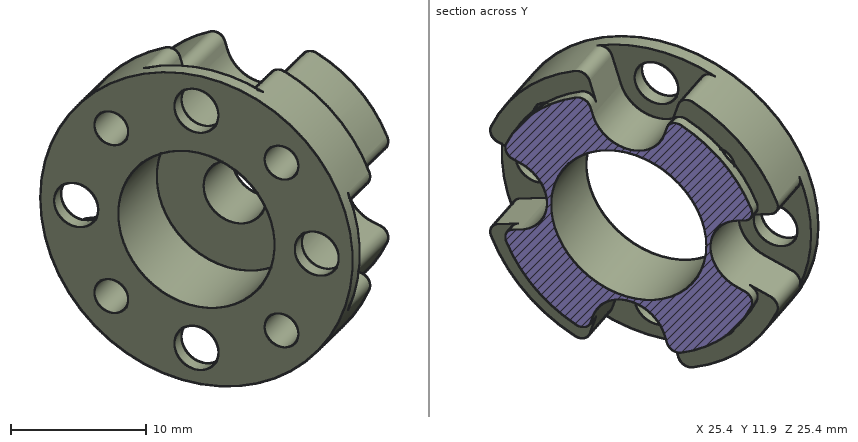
import cadquery as cq
import math

FLANGE_THICKNESS = 1.27
SHOULDER_END = 5.08
TOTAL_LENGTH = 11.938

FLANGE_DIAMETER = 25.4
HUB_DIAMETER = 21.94

BORE_DIAMETER = 12.7
BORE_DEPTH = 6.86
SHAFT_DIAMETER = 5.08

BOLT_CIRCLE_RADIUS = 9.779
CLEARANCE_DIAMETER = 3.57
BLIND_DIAMETER = 2.74
SHOULDER_BREAKTHROUGH = 0.06
BLIND_DEPTH = SHOULDER_END + SHOULDER_BREAKTHROUGH
DRILL_POINT_ANGLE = 118
FIRST_BLIND_ANGLE = 45
FLAT_BLIND_ANGLE = 315
QUARTER_TURN = 90
HOLE_ANGLES = range(0, 360, QUARTER_TURN)

GROOVE_RADIUS = 3.048
GROOVE_FLARE_ANGLE = 17.5
LOBE_CORNER_RADIUS = 0.889

RIM_TOLERANCE = 0.01


def front_plane(y):
    """Sketch plane at depth y whose normal points along +Y (local x = -X, local y = Z)."""
    return cq.Workplane(cq.Plane(origin=(0, y, 0), xDir=(-1, 0, 0), normal=(0, 1, 0)))


def disc(diameter, y_start, y_end):
    return front_plane(y_start).circle(diameter / 2).extrude(y_end - y_start)


def around_axis(shape, angle):
    """Turn a shape from the +X side to the given angle, counted from +X toward +Z."""
    return shape.rotate((0, 0, 0), (0, 1, 0), -angle)


def groove(y_start, y_end):
    """Groove on the +X side: a round bottom with straight walls flaring outward."""
    flare = math.radians(GROOVE_FLARE_ANGLE)
    tangent_x = BOLT_CIRCLE_RADIUS - GROOVE_RADIUS * math.sin(flare)
    tangent_z = GROOVE_RADIUS * math.cos(flare)
    mouth_x = FLANGE_DIAMETER / 2 + GROOVE_RADIUS
    mouth_z = tangent_z + (mouth_x - tangent_x) * math.tan(flare)
    bottom_x = BOLT_CIRCLE_RADIUS - GROOVE_RADIUS
    return (
        front_plane(y_start)
        .moveTo(-mouth_x, mouth_z)
        .lineTo(-tangent_x, tangent_z)
        .threePointArc((-bottom_x, 0), (-tangent_x, -tangent_z))
        .lineTo(-mouth_x, -mouth_z)
        .close()
        .extrude(y_end - y_start)
    )


def grooved_section(diameter, y_start, y_end):
    """Round section with four grooves, leaving four lobes with rounded corners."""
    section = disc(diameter, y_start, y_end)
    for angle in HOLE_ANGLES:
        section = section.cut(around_axis(groove(y_start, y_end), angle))
    corner_edges = section.edges("|Y").filter(
        lambda edge: math.hypot(edge.Center().x, edge.Center().z) > diameter / 2 - RIM_TOLERANCE
    )
    return section.newObject(corner_edges.vals()).fillet(LOBE_CORNER_RADIUS)


def clearance_hole():
    hole = disc(CLEARANCE_DIAMETER, 0, FLANGE_THICKNESS)
    return hole.translate((BOLT_CIRCLE_RADIUS, 0, 0))


def blind_hole(pointed):
    """Hole from the front face that just passes the shoulder, with or without a drill point."""
    hole = disc(BLIND_DIAMETER, 0, BLIND_DEPTH)
    if pointed:
        radius = BLIND_DIAMETER / 2
        point_length = radius / math.tan(math.radians(DRILL_POINT_ANGLE / 2))
        point = cq.Solid.makeCone(
            radius, 0, point_length, pnt=cq.Vector(0, BLIND_DEPTH, 0), dir=cq.Vector(0, 1, 0)
        )
        hole = hole.union(cq.Workplane(point))
    return hole.translate((BOLT_CIRCLE_RADIUS, 0, 0))


def build_hub():
    shoulder = grooved_section(FLANGE_DIAMETER, FLANGE_THICKNESS, SHOULDER_END)
    groove_waste = disc(FLANGE_DIAMETER, FLANGE_THICKNESS, SHOULDER_END).cut(shoulder)
    hub = disc(FLANGE_DIAMETER, 0, SHOULDER_END).cut(groove_waste)
    hub = hub.union(grooved_section(HUB_DIAMETER, SHOULDER_END, TOTAL_LENGTH))
    hub = hub.cut(disc(BORE_DIAMETER, 0, BORE_DEPTH))
    hub = hub.cut(disc(SHAFT_DIAMETER, 0, TOTAL_LENGTH))
    for angle in HOLE_ANGLES:
        blind_angle = FIRST_BLIND_ANGLE + angle
        hub = hub.cut(around_axis(clearance_hole(), angle))
        hub = hub.cut(around_axis(blind_hole(blind_angle != FLAT_BLIND_ANGLE), blind_angle))
    return hub


result = build_hub()